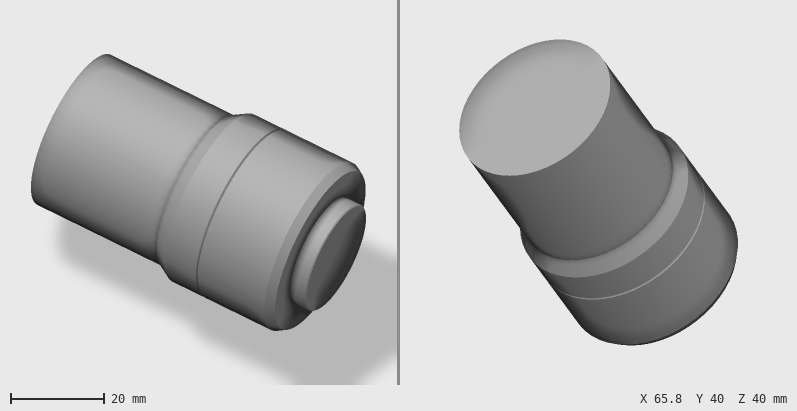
import cadquery as cq

total_length = 65.8
body_radius = 20.0

barrel_radius = 17.95
barrel_length = 31.3
cone_length = 3.55

spigot_length = 4.0
spigot_radius = 12.65
spigot_chamfer = 0.25
end_chamfer_length = 2.0
end_chamfer_depth = 1.2

groove_start = 42.5
groove_width = 0.6
groove_depth = 0.3

body_start = barrel_length + cone_length
body_end = total_length - spigot_length

profile = (
    cq.Workplane("XY")
    .lineTo(0, barrel_radius)
    .lineTo(barrel_length, barrel_radius)
    .lineTo(body_start, body_radius)
    .lineTo(body_end - end_chamfer_length, body_radius)
    .lineTo(body_end, body_radius - end_chamfer_depth)
    .lineTo(body_end, spigot_radius)
    .lineTo(total_length - spigot_chamfer, spigot_radius)
    .lineTo(total_length, spigot_radius - spigot_chamfer)
    .lineTo(total_length, 0)
    .close()
)
turned_body = profile.revolve(360, (0, 0, 0), (1, 0, 0))

groove = (
    cq.Workplane("XY")
    .moveTo(groove_start, body_radius)
    .lineTo(groove_start + groove_width / 2, body_radius - groove_depth)
    .lineTo(groove_start + groove_width, body_radius)
    .close()
    .revolve(360, (0, 0, 0), (1, 0, 0))
)

result = turned_body.cut(groove)